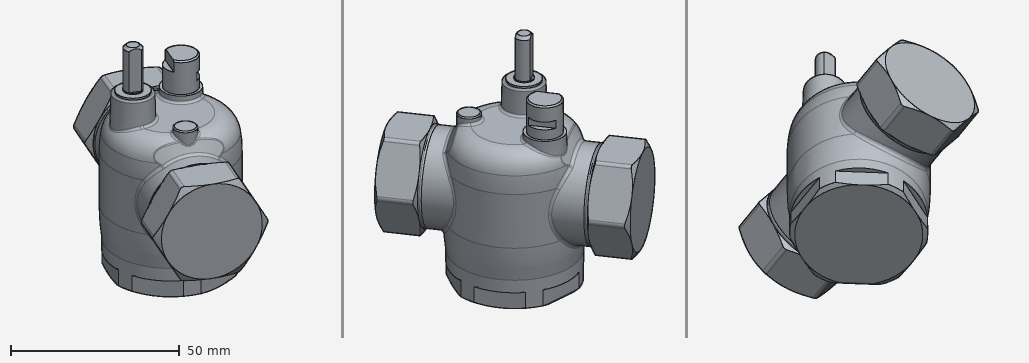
import cadquery as cq
import math

BODY_BOTTOM_Z = -31.3
COLLAR_Z = -25.2
RIM_TOP_Z = -21.0
BARREL_LOW_Z = -9.9
BARREL_HIGH_Z = 8.1
DOME_TOP_Z = 20.5
OVERALL_HEIGHT = 76.4
SPINDLE_TOP_Z = BODY_BOTTOM_Z + OVERALL_HEIGHT

BARREL_RADIUS = 21.24
RIM_RADIUS = 20.5
DOME_RADIUS = 7.8
SIDE_LEAN = math.radians(10)
BASE_ACROSS_FLATS = 37.9
BASE_CHAMFER_HEIGHT = 0.8
BASE_CHAMFER_WIDTH = 1.5

SLOPE_LEAN = math.radians(31)
SLOPE_X = 19.2
SLOPE_OUTER_X = 25.0
SLOPE_ROUND = 1.0

HEX_TURN = 30

OVERALL_LENGTH = 78.0
PIPE_RADIUS = 15.55
PIPE_FILLET = 1.3
HEX_INNER_X = 25.9
HEX_ACROSS_FLATS = 31.5
HEX_CORNER_ROUND = 1.5
HEX_OUTER_CHAMFER_ANGLE = math.radians(30)
HEX_INNER_CHAMFER_ANGLE = math.radians(22)
NECK_INNER_X = 24.8
NECK_OUTER_X = 25.4

BOSS_DRAFT = math.radians(1.5)
BOSS_ROOT_Z = 12.0
BOSS_FILLET = 0.8

SPINDLE_XY = (0.0, -11.8)
SPINDLE_BOSS_RADIUS = 6.55
SPINDLE_BOSS_TOP_Z = 29.4
SPINDLE_BOSS_ROUND = 0.55
SEAL_RADIUS = 5.45
SEAL_TOP_Z = 30.0
SHAFT_COLLAR_RADIUS = 3.05
SHAFT_COLLAR_TOP_Z = 30.4
SHAFT_RADIUS = 3.0
SHAFT_ACROSS_FLATS = 4.56
SHAFT_CHAMFER = 1.0

PIN_XY = (-10.8, 6.75)
PIN_BOSS_RADIUS = 6.45
PIN_BOSS_TOP_Z = 22.9
PIN_RADIUS = 5.5
PIN_TOP_Z = 34.05
PIN_CHAMFER = 0.5
PIN_FLAT_OFFSET = 3.6
PIN_FLAT_BOTTOM_Z = 30.2
PIN_SLOT_OFFSET = 3.55
PIN_SLOT_BOTTOM_Z = 26.25
PIN_SLOT_TOP_Z = 28.85

STUD_XY = (13.95, 0.0)
STUD_RADIUS = 3.7
STUD_TOP_Z = 22.9
STUD_CHAMFER = 0.4

EDGE_SAMPLES = 8
ON_SURFACE = 0.01
BOSS_ROOT_MARGIN = 0.5


def edges_matching(part, accepts, kind=None):
    """Edges of the part along which every sampled point passes the test."""
    samples = [i / EDGE_SAMPLES for i in range(EDGE_SAMPLES + 1)]
    found = [
        edge for edge in part.edges(kind).vals()
        if all(accepts(point) for point in edge.positions(samples))
    ]
    return part.newObject(found)


def on_pipe_junction(point):
    """True on the curve where the pipe enters the body."""
    on_pipe = abs(math.hypot(point.y, point.z) - PIPE_RADIUS) < ON_SURFACE
    return on_pipe and abs(point.x) < BARREL_RADIUS


def on_slope_rim(point):
    """True on the conical relief above a pipe branch."""
    pipe_distance = math.hypot(point.y, point.z) - PIPE_RADIUS
    cone_x = SLOPE_X - pipe_distance * math.tan(SLOPE_LEAN)
    return point.z > BARREL_HIGH_Z and abs(abs(point.x) - cone_x) < ON_SURFACE


def boss_root_test(center, top_radius):
    """Test for points on the curve where a boss meets the dome."""
    def accepts(point):
        distance = math.hypot(point.x - center[0], point.y - center[1])
        return point.z < DOME_TOP_Z + ON_SURFACE and abs(distance - top_radius) < BOSS_ROOT_MARGIN
    return accepts


def cylinder(center, radius, bottom_z, top_z):
    return cq.Workplane("XY", origin=(*center, bottom_z)).circle(radius).extrude(top_z - bottom_z)


def tapered_boss(center, top_radius, top_z):
    """Round boss that widens downward and is rooted inside the dome."""
    height = top_z - BOSS_ROOT_Z
    root_radius = top_radius + height * math.tan(BOSS_DRAFT)
    return (
        cq.Workplane("XZ", origin=(*center, 0))
        .moveTo(0, BOSS_ROOT_Z)
        .lineTo(root_radius, BOSS_ROOT_Z)
        .lineTo(top_radius, top_z)
        .lineTo(0, top_z)
        .close()
        .revolve(360, (0, 0), (0, 1))
    )


def barrel_arc_point(arc_radius, angle, start_z, direction):
    """Point (r, z) on an arc that leaves the straight barrel tangentially and curves inward."""
    r = BARREL_RADIUS - arc_radius * (1 - math.cos(angle))
    return (r, start_z + direction * arc_radius * math.sin(angle))


def make_body():
    """Turned body: barrel with a rounded dome above and a wrench hexagon below."""
    dome_center_z = DOME_TOP_Z - DOME_RADIUS
    dome_end_z = dome_center_z + DOME_RADIUS * math.sin(SIDE_LEAN)
    upper_rise = dome_end_z - BARREL_HIGH_Z
    upper_radius = upper_rise / math.sin(SIDE_LEAN)
    dome_end_radius = BARREL_RADIUS - upper_radius * (1 - math.cos(SIDE_LEAN))
    upper_middle = barrel_arc_point(upper_radius, SIDE_LEAN / 2, BARREL_HIGH_Z, 1)
    lower_lean = 2 * math.atan((BARREL_RADIUS - RIM_RADIUS) / (BARREL_LOW_Z - RIM_TOP_Z))
    lower_radius = (BARREL_LOW_Z - RIM_TOP_Z) / math.sin(lower_lean)
    lower_middle = barrel_arc_point(lower_radius, lower_lean / 2, BARREL_LOW_Z, -1)
    dome_center_radius = dome_end_radius - DOME_RADIUS * math.cos(SIDE_LEAN)
    middle_angle = (math.pi / 2 + SIDE_LEAN) / 2
    dome_middle = (
        dome_center_radius + DOME_RADIUS * math.cos(middle_angle),
        dome_center_z + DOME_RADIUS * math.sin(middle_angle),
    )
    body = (
        cq.Workplane("YZ")
        .moveTo(0, BODY_BOTTOM_Z)
        .lineTo(RIM_RADIUS - BASE_CHAMFER_WIDTH, BODY_BOTTOM_Z)
        .lineTo(RIM_RADIUS, BODY_BOTTOM_Z + BASE_CHAMFER_HEIGHT)
        .lineTo(RIM_RADIUS, RIM_TOP_Z)
        .threePointArc(lower_middle, (BARREL_RADIUS, BARREL_LOW_Z))
        .lineTo(BARREL_RADIUS, BARREL_HIGH_Z)
        .threePointArc(upper_middle, (dome_end_radius, dome_end_z))
        .threePointArc(dome_middle, (dome_center_radius, DOME_TOP_Z))
        .lineTo(0, DOME_TOP_Z)
        .close()
        .revolve(360, (0, 0), (0, 1))
    )
    hexagon = (
        cq.Workplane("XY", origin=(0, 0, BODY_BOTTOM_Z))
        .polygon(6, BASE_ACROSS_FLATS, circumscribed=True)
        .extrude(COLLAR_Z - BODY_BOTTOM_Z)
        .rotate((0, 0, 0), (0, 0, 1), HEX_TURN)
    )
    above = cylinder((0, 0), 2 * BARREL_RADIUS, COLLAR_Z, DOME_TOP_Z)
    return body.intersect(hexagon.union(above))


def cut_dome_slopes(body):
    """Relieve the dome above each pipe branch with a cone about the pipe axis."""
    inner_radius = PIPE_RADIUS + SLOPE_X / math.tan(SLOPE_LEAN)
    relief = (
        cq.Workplane("XY")
        .moveTo(0, inner_radius)
        .lineTo(SLOPE_X, PIPE_RADIUS)
        .lineTo(SLOPE_X, 0)
        .lineTo(SLOPE_OUTER_X, 0)
        .lineTo(SLOPE_OUTER_X, inner_radius)
        .close()
        .revolve(180, (0, 0), (1, 0))
    )
    body = body.cut(relief).cut(relief.mirror("YZ"))
    return edges_matching(body, on_slope_rim, "%BSPLINE").fillet(SLOPE_ROUND)


def make_pipe():
    return cq.Workplane("YZ").circle(PIPE_RADIUS).extrude(HEX_INNER_X, both=True)


def make_end_hexagon(side):
    """End hexagon with rounded corners, coned at both ends, on a short flared neck."""
    end_x = OVERALL_LENGTH / 2
    flat_radius = HEX_ACROSS_FLATS / 2
    corner_radius = HEX_ACROSS_FLATS / math.sqrt(3)
    inner_cone = (corner_radius - flat_radius) * math.tan(HEX_INNER_CHAMFER_ANGLE)
    outer_cone = (corner_radius - flat_radius) * math.tan(HEX_OUTER_CHAMFER_ANGLE)
    hexagon = (
        cq.Workplane("YZ", origin=(HEX_INNER_X, 0, 0))
        .polygon(6, HEX_ACROSS_FLATS, circumscribed=True)
        .extrude(end_x - HEX_INNER_X)
        .edges("|X")
        .fillet(HEX_CORNER_ROUND)
        .rotate((0, 0, 0), (1, 0, 0), HEX_TURN)
    )
    coned_blank = (
        cq.Workplane("XY")
        .moveTo(HEX_INNER_X, 0)
        .lineTo(HEX_INNER_X, flat_radius)
        .lineTo(HEX_INNER_X + inner_cone, corner_radius)
        .lineTo(end_x - outer_cone, corner_radius)
        .lineTo(end_x, flat_radius)
        .lineTo(end_x, 0)
        .close()
        .revolve(360, (0, 0), (1, 0))
    )
    neck = (
        cq.Workplane("XY")
        .moveTo(NECK_INNER_X, 0)
        .lineTo(NECK_INNER_X, PIPE_RADIUS)
        .lineTo(NECK_OUTER_X, flat_radius)
        .lineTo(HEX_INNER_X, flat_radius)
        .lineTo(HEX_INNER_X, 0)
        .close()
        .revolve(360, (0, 0), (1, 0))
    )
    end = hexagon.intersect(coned_blank).union(neck)
    return end if side > 0 else end.mirror("YZ")


def make_spindle_top():
    """Seal disc and flatted drive shaft above the spindle boss."""
    shaft = (
        cylinder(SPINDLE_XY, SHAFT_RADIUS, SPINDLE_BOSS_TOP_Z, SPINDLE_TOP_Z)
        .faces(">Z")
        .chamfer(SHAFT_CHAMFER)
    )
    flats = (
        cq.Workplane("XY", origin=(*SPINDLE_XY, SPINDLE_BOSS_TOP_Z))
        .rect(SHAFT_ACROSS_FLATS, 2 * SHAFT_RADIUS)
        .extrude(SPINDLE_TOP_Z - SPINDLE_BOSS_TOP_Z)
    )
    seal = cylinder(SPINDLE_XY, SEAL_RADIUS, SPINDLE_BOSS_TOP_Z, SEAL_TOP_Z)
    collar = cylinder(SPINDLE_XY, SHAFT_COLLAR_RADIUS, SEAL_TOP_Z, SHAFT_COLLAR_TOP_Z)
    return seal.union(collar).union(shaft.intersect(flats))


def make_pin():
    """Locking pin with a flat at the front of its head and a cross slot at the back."""
    pin = cylinder(PIN_XY, PIN_RADIUS, PIN_BOSS_TOP_Z, PIN_TOP_Z).faces(">Z").chamfer(PIN_CHAMFER)
    x, y = PIN_XY
    flat = (
        cq.Workplane("XY")
        .box(2 * PIN_RADIUS, PIN_RADIUS, PIN_TOP_Z - PIN_FLAT_BOTTOM_Z, centered=(True, False, False))
        .translate((x, y - PIN_FLAT_OFFSET - PIN_RADIUS, PIN_FLAT_BOTTOM_Z))
    )
    slot = (
        cq.Workplane("XY")
        .box(2 * PIN_RADIUS, PIN_RADIUS, PIN_SLOT_TOP_Z - PIN_SLOT_BOTTOM_Z, centered=(True, False, False))
        .translate((x, y + PIN_SLOT_OFFSET, PIN_SLOT_BOTTOM_Z))
    )
    return pin.cut(flat).cut(slot)


result = cut_dome_slopes(make_body()).union(make_pipe())
result = edges_matching(result, on_pipe_junction).fillet(PIPE_FILLET)

spindle_boss = (
    tapered_boss(SPINDLE_XY, SPINDLE_BOSS_RADIUS, SPINDLE_BOSS_TOP_Z)
    .faces(">Z")
    .edges()
    .fillet(SPINDLE_BOSS_ROUND)
)
pin_boss = tapered_boss(PIN_XY, PIN_BOSS_RADIUS, PIN_BOSS_TOP_Z)
stud = cylinder(STUD_XY, STUD_RADIUS, BOSS_ROOT_Z, STUD_TOP_Z).faces(">Z").chamfer(STUD_CHAMFER)

for boss, center, radius in (
    (spindle_boss, SPINDLE_XY, SPINDLE_BOSS_RADIUS),
    (pin_boss, PIN_XY, PIN_BOSS_RADIUS),
    (stud, STUD_XY, STUD_RADIUS),
):
    result = result.union(boss)
    result = edges_matching(result, boss_root_test(center, radius)).fillet(BOSS_FILLET)

result = result.union(make_spindle_top()).union(make_pin())
for side in (-1, 1):
    result = result.union(make_end_hexagon(side))